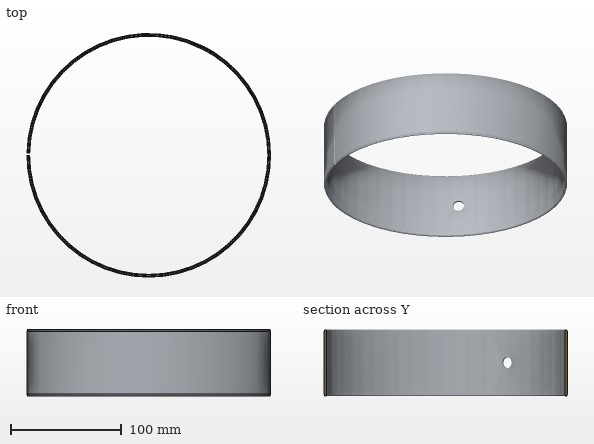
import cadquery as cq

outer_diameter = 220.0
height = 60.0
wall = 2.5
outer_radius = outer_diameter / 2
inner_radius = outer_radius - wall

bevel_height = 1.8
bevel_width = 0.7
inner_bevel = 0.7

split_width = 2.0

hole_diameter = 10.0
hole_angle = 59.0
hole_height = height / 2


def make_band():
    """Revolve the wall section, bevelled at all four corners, about Z."""
    bevel_radius = outer_radius - bevel_width
    section = (
        cq.Workplane("XZ")
        .moveTo(inner_radius + inner_bevel, 0)
        .lineTo(bevel_radius, 0)
        .lineTo(outer_radius, bevel_height)
        .lineTo(outer_radius, height - bevel_height)
        .lineTo(bevel_radius, height)
        .lineTo(inner_radius + inner_bevel, height)
        .lineTo(inner_radius, height - inner_bevel)
        .lineTo(inner_radius, inner_bevel)
        .close()
    )
    return section.revolve(360, (0, 0, 0), (0, 1, 0))


def make_split():
    """Full-height slot cutter that reaches from the axis out past -X."""
    return cq.Workplane("XY").box(
        outer_diameter, split_width, height, centered=(True, False, False)
    ).translate((-outer_radius, 0, 0))


def make_hole():
    """Cylinder from the axis outward, turned to the hole's angle."""
    return (
        cq.Workplane("YZ")
        .center(0, hole_height)
        .circle(hole_diameter / 2)
        .extrude(outer_diameter)
        .rotate((0, 0, 0), (0, 0, 1), hole_angle)
    )


result = make_band().cut(make_split()).cut(make_hole())